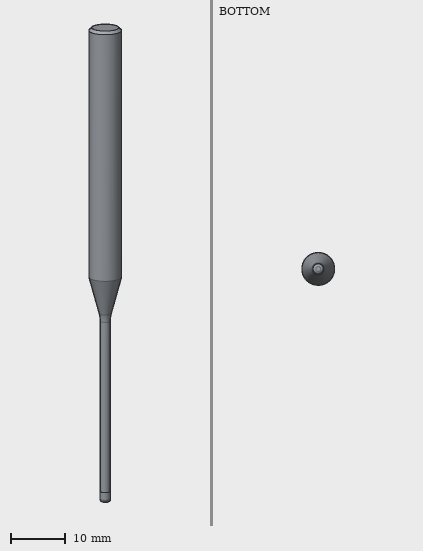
import cadquery as cq
import math

total_length = 90.0
shank_radius = 6.0 / 2
shank_chamfer = 0.5

tip_radius = 2.0 / 2
tip_length = 2.0
tip_corner_radius = 0.5

neck_radius = 1.9 / 2
neck_top = 34.3
cone_bottom = 35.7
cone_bottom_radius = 2.25 / 2
cone_top = 42.7


def make_cutting_tip():
    """Short cylinder with a rounded lower corner."""
    tip = cq.Workplane("XY").circle(tip_radius).extrude(tip_length)
    return tip.faces("<Z").edges().fillet(tip_corner_radius)


def make_holder():
    """Neck, blend arc, cone and chamfered shank, revolved about Z."""
    blend_width = cone_bottom_radius - neck_radius
    blend_height = cone_bottom - neck_top
    half_turn = math.atan2(blend_width, blend_height)
    blend_radius = math.hypot(blend_width, blend_height) / (2 * math.sin(half_turn))
    blend_middle = (
        neck_radius + blend_radius * (1 - math.cos(half_turn)),
        neck_top + blend_radius * math.sin(half_turn),
    )
    profile = (
        cq.Workplane("XZ")
        .moveTo(0, tip_length)
        .lineTo(neck_radius, tip_length)
        .lineTo(neck_radius, neck_top)
        .threePointArc(blend_middle, (cone_bottom_radius, cone_bottom))
        .lineTo(shank_radius, cone_top)
        .lineTo(shank_radius, total_length - shank_chamfer)
        .lineTo(shank_radius - shank_chamfer, total_length)
        .lineTo(0, total_length)
        .close()
    )
    return profile.revolve(360, (0, 0), (0, 1))


cutting_tip = make_cutting_tip()
holder = make_holder()

result = cq.Compound.makeCompound([cutting_tip.val(), holder.val()])